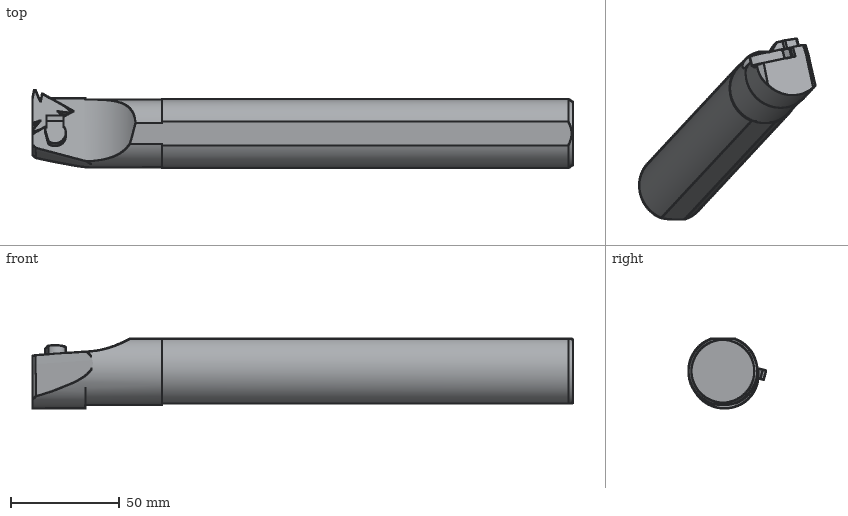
import cadquery as cq
import math

LENGTH = 250.0
SHANK_RADIUS = 16.0
FLAT_HEIGHT = 15.0
END_CHAMFER_DEPTH = 1.5
END_CHAMFER_LENGTH = 2.2
NECK_RADIUS = 15.8
NECK_LENGTH = 60.0

HEAD_LENGTH = 24.5
HEAD_RADIUS = 15.8
HEAD_CENTER = (0.8, -1.5)

HEAD_ROLL = -15.0
SEAT_HEIGHT = 1.0
FACE_HEIGHT = 5.5
SCOOP_START = 24.0
SCOOP_RADIUS = 32.5
CUT_SIZE = 50.0

CORNER_START = (0.0, -7.0)
CORNER_END = (1.5, -8.5)
SIDE_END = (27.0, -15.5)
UPPER_LEAN = 2.0
LOWER_LEAN = 2.0

CLEARANCE_EDGE = 13.8
CLEARANCE_ANGLE = 60.0
CLEARANCE_DRAFT = 4.0

INSERT_SIDE = 22.0
INSERT_CENTER_Y = 9.2
TIP_TRIM = 1.0
TIP_FLANK = 4.8
TIP_LEAD = 0.8
TIP_END = 1.5
NOTCH_X = 3.8
NOTCH_DEPTH = 6.5
SHOULDER_X = 4.5

CLAMP_CENTER = (10.5, -2.5)
CLAMP_RADIUS = 5.0
CLAMP_TOP = 10.5
CLAMP_NOSE = 6.8
NOSE_WIDTH = 8.0
NOSE_BEVEL = 3.5
CLAMP_FLAT = 4.0
CLAMP_FLAT_TURN = 15.0


def roll(body):
    """Turn a body from the rolled head frame into the part frame."""
    return body.rotate((0, 0, 0), (1, 0, 0), HEAD_ROLL)


def make_bar():
    shank = (
        cq.Workplane("XY")
        .polyline([
            (0, 0),
            (0, SHANK_RADIUS),
            (LENGTH - END_CHAMFER_LENGTH, SHANK_RADIUS),
            (LENGTH, SHANK_RADIUS - END_CHAMFER_DEPTH),
            (LENGTH, 0),
        ])
        .close()
        .revolve(360, (0, 0, 0), (1, 0, 0))
    )
    neck_blank = cq.Workplane("YZ").circle(SHANK_RADIUS + 2.5).circle(NECK_RADIUS).extrude(NECK_LENGTH)
    slab = cq.Workplane("XY").box(LENGTH, 2 * CUT_SIZE, 2 * FLAT_HEIGHT, centered=(False, True, True))
    shank = shank.cut(neck_blank).intersect(slab)
    neck = cq.Workplane("YZ").circle(NECK_RADIUS).extrude(NECK_LENGTH)
    lower_part = cq.Workplane("XY").box(NECK_LENGTH, 2 * CUT_SIZE, CUT_SIZE, centered=(False, True, False))
    neck = neck.intersect(lower_part.translate((0, 0, FLAT_HEIGHT - CUT_SIZE)))
    lobe = cq.Workplane("YZ").center(*HEAD_CENTER).circle(HEAD_RADIUS).extrude(HEAD_LENGTH)
    return shank.union(neck).union(lobe)


def scoop_cutter():
    """Flat above the head, running out of the bar along an arc."""
    mid = math.radians(45)
    arc_mid = (
        SCOOP_START + SCOOP_RADIUS * math.sin(mid),
        FACE_HEIGHT + SCOOP_RADIUS * (1 - math.cos(mid)),
    )
    return roll(
        cq.Workplane("XZ")
        .moveTo(-2.5, FACE_HEIGHT)
        .lineTo(SCOOP_START, FACE_HEIGHT)
        .threePointArc(arc_mid, (SCOOP_START + SCOOP_RADIUS, FACE_HEIGHT + SCOOP_RADIUS))
        .lineTo(-2.5, FACE_HEIGHT + SCOOP_RADIUS)
        .close()
        .extrude(CUT_SIZE, both=True)
    )


def side_cutter(start, end):
    """Cut along the line start-end, leaning inward above and below the seat height."""
    heading = math.degrees(math.atan2(end[1] - start[1], end[0] - start[0]))
    upper_inset = CUT_SIZE * math.tan(math.radians(UPPER_LEAN))
    lower_inset = CUT_SIZE * math.tan(math.radians(LOWER_LEAN))
    cutter = (
        cq.Workplane("YZ")
        .polyline([
            (0, 0),
            (upper_inset, CUT_SIZE),
            (-CUT_SIZE, CUT_SIZE),
            (-CUT_SIZE, -CUT_SIZE),
            (lower_inset, -CUT_SIZE),
        ])
        .close()
        .extrude(CUT_SIZE, both=True)
        .rotate((0, 0, 0), (0, 0, 1), heading)
        .translate((start[0], start[1], SEAT_HEIGHT))
    )
    return roll(cutter)


def clearance_cutter():
    """Slanted relief below the overhanging tip."""
    reach = CUT_SIZE * math.tan(math.radians(CLEARANCE_ANGLE))
    cutter = (
        cq.Workplane("XY")
        .polyline([(0, 0), (CUT_SIZE, reach), (0, reach)])
        .close()
        .extrude(-CUT_SIZE)
        .rotate((0, 0, 0), (1, 0, 0), CLEARANCE_DRAFT)
        .translate((0, CLEARANCE_EDGE, SEAT_HEIGHT))
    )
    return roll(cutter)


def clamp_head():
    """Round clamp with a bevelled nose over the insert and a flat at the cutting end."""
    height = CLAMP_TOP - FACE_HEIGHT
    nose_length = CLAMP_NOSE - CLAMP_CENTER[1]
    nose = cq.Workplane("XY").box(NOSE_WIDTH, nose_length, height, centered=(True, False, False))
    nose = nose.faces(">Y").edges(">Z").chamfer(NOSE_BEVEL)
    flat = (
        cq.Workplane("XY")
        .box(CUT_SIZE, CUT_SIZE, CUT_SIZE)
        .translate((-CLAMP_FLAT - CUT_SIZE / 2, 0, 0))
        .rotate((0, 0, 0), (0, 0, 1), CLAMP_FLAT_TURN)
    )
    head = cq.Workplane("XY").circle(CLAMP_RADIUS).extrude(height).union(nose).cut(flat)
    return roll(head.translate((*CLAMP_CENTER, FACE_HEIGHT)))


def insert_plate(points):
    plate = cq.Workplane("XY").polyline(points).close().extrude(FACE_HEIGHT - SEAT_HEIGHT)
    return roll(plate.translate((0, 0, SEAT_HEIGHT)))


def triangle_points():
    half = INSERT_SIDE / 2
    return [
        (0, INSERT_CENTER_Y - half),
        (0, INSERT_CENTER_Y + half),
        (INSERT_SIDE * math.sin(math.radians(60)), INSERT_CENTER_Y),
    ]


def insert_points():
    """Triangle with a tooth and a notch at each corner, clockwise from the cutting tip."""
    half = INSERT_SIDE / 2
    inradius = half * math.tan(math.radians(30))
    corner = [
        (0, half - TIP_FLANK),
        (TIP_LEAD, half - TIP_TRIM),
        (TIP_END, half - TIP_TRIM),
        (NOTCH_X, half - NOTCH_DEPTH),
        (SHOULDER_X, half - SHOULDER_X * math.tan(math.radians(30))),
    ]
    points = []
    for turn in (0, 120, 240):
        c = math.cos(math.radians(turn))
        s = math.sin(math.radians(turn))
        for x, y in corner:
            dx = x - inradius
            points.append((inradius + c * dx + s * y, INSERT_CENTER_Y - s * dx + c * y))
    return points


holder = make_bar().cut(scoop_cutter())
holder = holder.cut(side_cutter(CORNER_START, CORNER_END)).cut(side_cutter(CORNER_END, SIDE_END))
holder = holder.cut(clearance_cutter())
holder = holder.cut(insert_plate(triangle_points()))
holder = holder.union(clamp_head())

insert = insert_plate(insert_points())

result = cq.Compound.makeCompound([holder.val(), insert.val()])